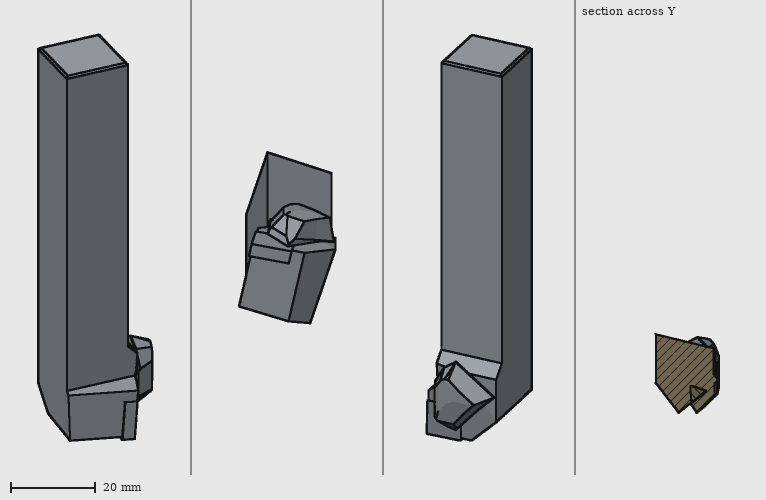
import cadquery as cq
import math

total_length = 100.0
shank_size = 16.0
shank_end_chamfer = 0.5

head_face_y = 19.0
head_top_z = 23.3
back_chamfer_z = 9.0
back_chamfer = 5.4
side_step_z = 15.0
side_top_x = 16.9
side_top_z = 14.2
side_bottom_x = 17.8
side_bottom_z = 2.4
rake_tilt = 6.0
tilt_slope = math.tan(math.radians(rake_tilt))

insert_edge = 9.7
insert_thickness = 3.1
insert_corner_angle = 80.0
insert_corner_radius = 0.4
insert_right_x = 19.9
corner_inset = 0.04
corner_x = insert_right_x + corner_inset
corner_y = 15.9
corner_z = -corner_inset

clamp_base_y = 17.0
clamp_lip_y = 19.2
clamp_top_y = 24.4
clamp_draft = 19.0
clamp_back_z = 22.7
clamp_left_x = 0.5
clamp_right_x = 16.3
clamp_ridge_x = 10.6
clamp_nose_z = 3.8

clear = 30.0


def prism_along_y(points, y_start, y_end, draft=0.0):
    """Extrude an (x, z) outline from y_start to y_end."""
    plane = cq.Plane(origin=(0, y_start, 0), xDir=(-1, 0, 0), normal=(0, 1, 0))
    outline = [(-x, z) for x, z in points]
    return cq.Workplane(plane).polyline(outline).close().extrude(y_end - y_start, taper=draft)


def prism_along_x(points):
    """Extrude a (y, z) outline across the whole width."""
    return cq.Workplane("YZ", origin=(-clear, 0, 0)).polyline(points).close().extrude(3 * clear)


rake_plane = cq.Plane(
    origin=(corner_x, corner_y, corner_z),
    xDir=(-1, tilt_slope, 0),
    normal=(tilt_slope, 1, -tilt_slope),
)


def make_shank():
    shank = cq.Workplane("XY", origin=(0, 0, head_top_z)).rect(shank_size, shank_size, centered=False)
    return shank.extrude(total_length - head_top_z).faces(">Z").edges().chamfer(shank_end_chamfer)


def head_outline(y):
    """Head outline at depth y; the bottom and right flanks lean outward with y."""
    shift = tilt_slope * y
    return [
        (0, head_top_z),
        (0, back_chamfer_z),
        (back_chamfer + shift, back_chamfer_z - back_chamfer - shift),
        (side_bottom_x + shift, side_bottom_z - shift),
        (side_top_x + shift, side_top_z - shift),
        (shank_size, side_step_z),
        (shank_size, head_top_z),
    ]


def make_head():
    wires = []
    for y in (0, head_face_y):
        points = [cq.Vector(x, y, z) for x, z in head_outline(y)]
        wires.append(cq.Wire.makePolygon(points, close=True))
    head = cq.Workplane(obj=cq.Solid.makeLoft(wires, True))
    step = head_face_y - shank_size
    step_z = head_top_z - step
    step_cut = prism_along_x([
        (shank_size, head_top_z),
        (head_face_y, step_z),
        (clear, step_z),
        (clear, head_top_z),
    ])
    above_rake = cq.Workplane(rake_plane).rect(2 * clear, 2 * clear).extrude(clear)
    return head.cut(step_cut).cut(above_rake)


def make_clamp():
    """Drafted clamp block trimmed by its side and end profiles."""
    footprint = [
        (clamp_left_x, 15.5),
        (5.0, 11.0),
        (11.3, clamp_nose_z),
        (clamp_right_x, 9.5),
        (clamp_right_x, 16.0),
        (13.6, 20.6),
        (clamp_ridge_x, clamp_back_z),
    ]
    block = prism_along_y(footprint, clamp_base_y, clamp_lip_y)
    block = block.union(prism_along_y(footprint, clamp_lip_y, clamp_top_y, clamp_draft))
    side_profile = prism_along_x([
        (head_face_y, clamp_back_z),
        (clamp_lip_y, clamp_back_z),
        (24.1, 20.3),
        (clamp_top_y, 18.0),
        (clamp_top_y, 15.0),
        (23.2, 8.3),
        (17.7, clamp_nose_z),
        (clamp_base_y, clamp_nose_z),
        (clamp_base_y, 13.0),
        (head_face_y, 18.0),
    ])
    end_profile = cq.Workplane("XY").polyline([
        (clamp_left_x, clamp_base_y),
        (clamp_left_x, clamp_top_y),
        (8.5, clamp_top_y),
        (clamp_ridge_x, 24.2),
        (13.0, 23.7),
        (14.3, 23.0),
        (clamp_right_x, 18.6),
        (clamp_right_x, clamp_base_y),
    ]).close().extrude(clear)
    return block.intersect(side_profile).intersect(end_profile)


def make_insert():
    """Rhombic plate whose top lies in the rake plane."""
    edge_lean = (90.0 - insert_corner_angle) / 2
    along = insert_edge * math.cos(math.radians(edge_lean))
    across = insert_edge * math.sin(math.radians(edge_lean))
    rhombus = [(0, 0), (along, across), (along + across, along + across), (across, along)]
    plate = cq.Workplane(rake_plane).polyline(rhombus).close().extrude(-insert_thickness)
    return plate.edges(cq.selectors.ParallelDirSelector(rake_plane.zDir)).fillet(
        insert_corner_radius)


insert = make_insert()
holder = make_shank().union(make_head()).union(make_clamp()).cut(insert)

result = cq.Compound.makeCompound([*holder.solids().vals(), *insert.solids().vals()])